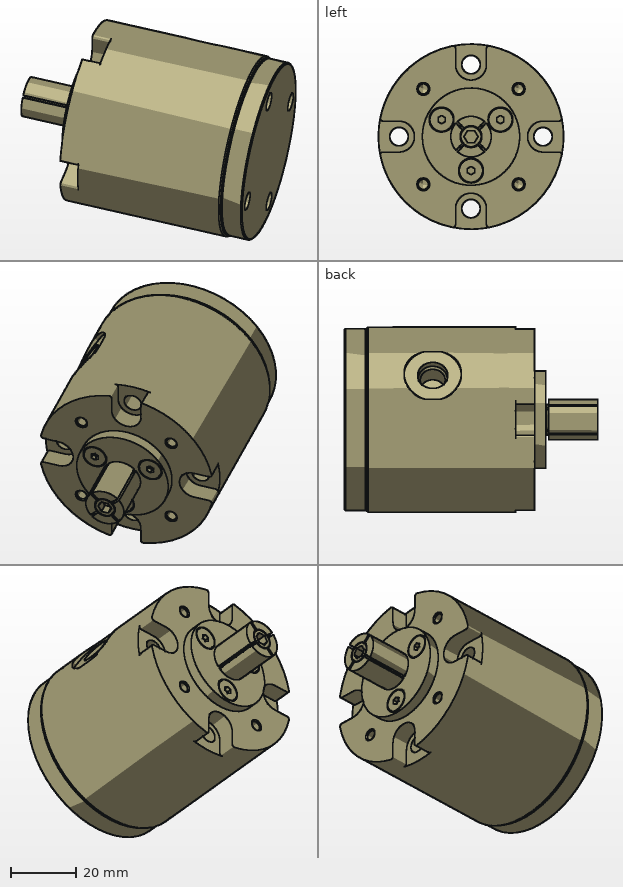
import cadquery as cq
import math


shaft_end = 15.0
neck_groove_start = 15.6
neck_groove_end = 15.7
flange_start = 15.9
body_start = 19.3
body_end = 70.7
cap_start = 71.15
total_length = 77.5

shaft_radius = 6.2
neck_radius = 4.7
neck_groove_radius = 4.4
flange_radius = 14.9
body_diameter = 56.65
body_radius = body_diameter / 2
cap_radius = 27.8
groove_radius = 27.6
body_chamfer = 0.5
cap_chamfer = 0.4

diagonal_angle = 45.0

notch_width = 9.45
notch_depth = 5.8
notch_edge_fillet = 0.85
mount_radius = 22.0
mount_hole_radius = 2.8

blind_hole_radius = 1.55
blind_hole_depth = 9.3
blind_hole_pitch_radius = 20.6
countersink_radius = 1.9
drill_tip_angle = 118.0

head_gap = 0.2
head_gap_depth = 0.8
flange_screw_count = 3
flange_screw_pitch_radius = 10.4
flange_head_bore_radius = 3.8
flange_socket_flats = 2.2
flange_socket_depth = 1.55
flange_socket_turn = 30.0
collet_bore_radius = 3.3
collet_socket_flats = 3.7
collet_socket_depth = 3.1
collet_socket_turn = 0.0

slit_width = 0.7

port_x = 50.45
port_elevation = 30.0
spotface_distance = 27.05
spotface_radius = 8.75
port_entry_diameter = 9.2
port_entry_radius = port_entry_diameter / 2
port_entry_end_radius = 4.4
port_entry_depth = 2.1
port_bore_radius = 3.8
port_bore_start_depth = 2.9
port_bore_depth = 9.3


def four_around(shape, start_angle):
    """Union of four copies of a shape, a quarter turn apart about the X axis."""
    copies = cq.Workplane()
    for quarter in range(4):
        copies = copies.add(shape.rotate((0, 0, 0), (1, 0, 0), start_angle + 90 * quarter))
    return copies.combine()


def turned_blank():
    """Shaft, neck, flange, body and end cap as one turned profile."""
    profile = [
        (0, 0),
        (0, shaft_radius),
        (shaft_end, shaft_radius),
        (shaft_end, neck_radius),
        (neck_groove_start, neck_radius),
        (neck_groove_start, neck_groove_radius),
        (neck_groove_end, neck_groove_radius),
        (neck_groove_end, neck_radius),
        (flange_start, neck_radius),
        (flange_start, flange_radius),
        (body_start, flange_radius),
        (body_start, body_radius),
        (body_end - body_chamfer, body_radius),
        (body_end, body_radius - body_chamfer),
        (body_end, groove_radius),
        (cap_start, groove_radius),
        (cap_start, cap_radius),
        (total_length - cap_chamfer, cap_radius),
        (total_length, cap_radius - cap_chamfer),
        (total_length, 0),
    ]
    return cq.Workplane("XY").polyline(profile).close().revolve(360, (0, 0, 0), (1, 0, 0))


def mounting_notches():
    """Round-ended notches open to the rim, with rounded corners where they meet it."""
    half_width = notch_width / 2
    fillet_center_y = half_width + notch_edge_fillet
    fillet_center_z = math.sqrt((body_radius - notch_edge_fillet) ** 2 - fillet_center_y**2)
    touch_scale = body_radius / (body_radius - notch_edge_fillet)
    touch_y = fillet_center_y * touch_scale
    touch_z = fillet_center_z * touch_scale
    mid_angle = (math.pi + math.atan2(touch_z, touch_y)) / 2
    mid_y = fillet_center_y + notch_edge_fillet * math.cos(mid_angle)
    mid_z = fillet_center_z + notch_edge_fillet * math.sin(mid_angle)
    outside_z = body_radius + notch_edge_fillet
    notch = (
        cq.Workplane("YZ", origin=(body_start, 0, 0))
        .moveTo(-half_width, mount_radius)
        .threePointArc((0, mount_radius - half_width), (half_width, mount_radius))
        .lineTo(half_width, fillet_center_z)
        .threePointArc((mid_y, mid_z), (touch_y, touch_z))
        .lineTo(touch_y, outside_z)
        .lineTo(-touch_y, outside_z)
        .lineTo(-touch_y, touch_z)
        .threePointArc((-mid_y, mid_z), (-half_width, fillet_center_z))
        .close()
        .extrude(notch_depth)
    )
    bolt_hole = (
        cq.Workplane("YZ", origin=(body_start, 0, 0))
        .center(0, mount_radius)
        .circle(mount_hole_radius)
        .extrude(total_length - body_start)
    )
    return four_around(notch.union(bolt_hole), 0)


def blind_holes():
    """Countersunk holes with a drilled point, on the diagonals of the body face."""
    tip_depth = blind_hole_radius / math.tan(math.radians(drill_tip_angle / 2))
    countersink_depth = countersink_radius - blind_hole_radius
    hole = (
        cq.Workplane("XY", origin=(body_start, blind_hole_pitch_radius, 0))
        .polyline([
            (0, 0),
            (0, countersink_radius),
            (countersink_depth, blind_hole_radius),
            (blind_hole_depth, blind_hole_radius),
            (blind_hole_depth + tip_depth, 0),
        ])
        .close()
        .revolve(360, (0, 0, 0), (1, 0, 0))
    )
    return four_around(hole, diagonal_angle)


def screw_recess(x, y, z, bore_radius, socket_flats, socket_depth, socket_turn):
    """Gap around a flush screw head plus its hex socket, cut inward from a face at x."""
    face = cq.Workplane("YZ", origin=(x, y, z))
    gap = face.circle(bore_radius).circle(bore_radius - head_gap).extrude(head_gap_depth)
    across_corners = socket_flats / math.cos(math.pi / 6)
    socket = face.polygon(6, across_corners).extrude(socket_depth)
    return gap.union(socket.rotate((x, y, z), (x + 0.8, y, z), socket_turn))


def flange_screws():
    """Screws evenly spaced on the flange, the first straight below the axis."""
    recesses = cq.Workplane()
    for index in range(flange_screw_count):
        angle = math.radians(-90 + 360 / flange_screw_count * index)
        recesses = recesses.add(screw_recess(
            flange_start,
            flange_screw_pitch_radius * math.cos(angle),
            flange_screw_pitch_radius * math.sin(angle),
            flange_head_bore_radius,
            flange_socket_flats,
            flange_socket_depth,
            flange_socket_turn,
        ))
    return recesses.combine()


def collet_slits():
    """Slits from the shaft's bore outward, from the shaft tip to the groove in the neck."""
    slit = (
        cq.Workplane("XY")
        .box(neck_groove_start, shaft_radius, slit_width, centered=(False, False, True))
        .translate((0, collet_bore_radius - head_gap, 0))
    )
    return four_around(slit, diagonal_angle)


def port():
    """Spotface, tapered entry and blind bore, pointing at the body axis."""
    tilt = math.radians(port_elevation)
    outward = (0, math.cos(tilt), math.sin(tilt))
    center = (port_x, spotface_distance * outward[1], spotface_distance * outward[2])
    flat = cq.Workplane(cq.Plane(origin=center, xDir=(1, 0, 0), normal=outward))
    spotface = flat.circle(spotface_radius).extrude(body_radius)
    section = cq.Workplane(cq.Plane(
        origin=center, xDir=(1, 0, 0), normal=(0, outward[2], -outward[1])
    ))
    bore = (
        section.polyline([
            (0, 0),
            (port_entry_radius, 0),
            (port_entry_end_radius, port_entry_depth),
            (port_bore_radius, port_bore_start_depth),
            (port_bore_radius, port_bore_depth),
            (0, port_bore_depth),
        ])
        .close()
        .revolve(360, (0, 0, 0), (0, 1, 0))
    )
    return spotface.union(bore)


collet_screw = screw_recess(
    0, 0, 0, collet_bore_radius, collet_socket_flats, collet_socket_depth, collet_socket_turn
)

result = (
    turned_blank()
    .cut(mounting_notches())
    .cut(blind_holes())
    .cut(flange_screws())
    .cut(collet_screw)
    .cut(collet_slits())
    .cut(port())
)